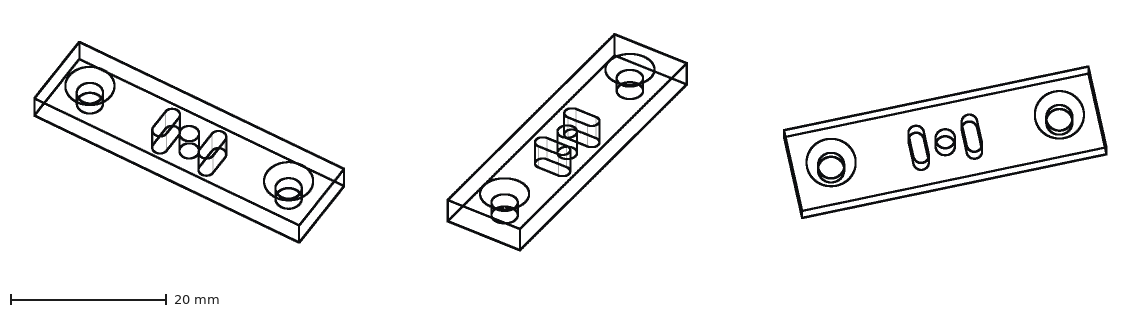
import cadquery as cq

length = 40.0
width = 11.0
thickness = 3.5

mount_spacing = 30.0
mount_diameter = 3.4
countersink_diameter = 6.3
countersink_angle = 90.0

center_hole_diameter = 2.5
slot_spacing = 7.0
slot_length = 5.0
slot_width = 2.0
slot_direction = 90.0


def pair_along_x(spacing):
    """Two points placed symmetrically about the plate centre."""
    return [(-spacing / 2, 0), (spacing / 2, 0)]


plate = cq.Workplane("XY").box(length, width, thickness)

plate = (
    plate.faces(">Z").workplane()
    .pushPoints(pair_along_x(mount_spacing))
    .cskHole(mount_diameter, countersink_diameter, countersink_angle)
)

plate = plate.faces(">Z").workplane().hole(center_hole_diameter)

result = (
    plate.faces(">Z").workplane()
    .pushPoints(pair_along_x(slot_spacing))
    .slot2D(slot_length, slot_width, slot_direction)
    .cutThruAll()
)